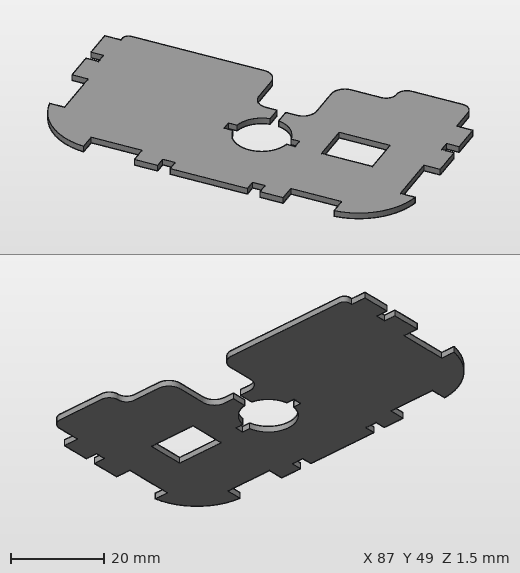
import cadquery as cq

width = 87.0
height = 49.0
thickness = 1.5
corner_radius = 15.0
body_half_width = 39.7

left_lobe_top = 43.0
left_lobe_radius = 1.5
shoulder_top = 44.0
step_x = 22.8
step_radius = 2.4
gap_floor = 30.2
gap_width = 13.7
gap_radius = 3.2

tab_top = 40.8
tab_bottom = 24.1
recess_length = 12.0
recess_bottom = tab_bottom - recess_length
tab_notch_bottom = 31.2
tab_notch_width = 2.5
tab_notch_depth = 3.0

edge_recess_center = 23.6
edge_recess_depth = 3.9
edge_notch_center = 10.6
edge_notch_width = 3.0
edge_notch_depth = 2.6

slot_left = 2.2
slot_right = 4.2
hole_x = (slot_left + slot_right) / 2
hole_y = 20.2
hole_radius = 6.4
key_span = 16.8
key_width = 2.2

window_left = 17.8
window_bottom = 19.05
window_length = recess_length
window_height = 9.0


def block(left, right, bottom, top):
    """Full-thickness rectangular block between the given sides."""
    solid = cq.Workplane("XY").box(right - left, top - bottom, thickness, centered=False)
    return solid.translate((left, bottom, 0))


def round_corners(plate, points, radius):
    """Round the upright edges that pass through the given points."""
    for x, y in points:
        edge = cq.selectors.NearestToPointSelector((x, y, thickness / 2))
        plate = plate.edges("|Z").edges(edge).fillet(radius)
    return plate


def make_body():
    """Plate with the stepped upper outline, the gap and all rounded corners."""
    gap_left = hole_x - gap_width / 2
    gap_right = hole_x + gap_width / 2
    half_width = width / 2
    outline = [
        (-half_width, 0),
        (half_width, 0),
        (half_width, tab_top),
        (body_half_width, tab_top),
        (body_half_width, height),
        (step_x, height),
        (step_x, shoulder_top),
        (gap_right, shoulder_top),
        (gap_right, gap_floor),
        (gap_left, gap_floor),
        (gap_left, left_lobe_top),
        (-body_half_width, left_lobe_top),
        (-body_half_width, tab_top),
        (-half_width, tab_top),
    ]
    body = cq.Workplane("XY").polyline(outline).close().extrude(thickness)
    body = round_corners(body, [(-half_width, 0), (half_width, 0)], corner_radius)
    gap_corners = [
        (gap_right, shoulder_top),
        (gap_right, gap_floor),
        (gap_left, gap_floor),
        (gap_left, left_lobe_top),
    ]
    body = round_corners(body, gap_corners, gap_radius)
    step_corners = [(body_half_width, height), (step_x, height), (step_x, shoulder_top)]
    body = round_corners(body, step_corners, step_radius)
    return round_corners(body, [(-body_half_width, left_lobe_top)], left_lobe_radius)


def make_edge_cutouts():
    """Recesses and notches on the right half of the side and lower edges."""
    outer = width / 2
    side_recess = block(body_half_width, outer, recess_bottom, tab_bottom)
    tab_notch_top = tab_notch_bottom + tab_notch_width
    tab_notch = block(outer - tab_notch_depth, outer, tab_notch_bottom, tab_notch_top)
    recess_left = edge_recess_center - recess_length / 2
    edge_recess = block(recess_left, recess_left + recess_length, 0, edge_recess_depth)
    notch_left = edge_notch_center - edge_notch_width / 2
    edge_notch = block(notch_left, notch_left + edge_notch_width, 0, edge_notch_depth)
    return [side_recess, tab_notch, edge_recess, edge_notch]


def make_keyed_hole():
    """Round opening with two side keys and a slot leading up to the gap."""
    hole = cq.Workplane("XY").center(hole_x, hole_y).circle(hole_radius).extrude(thickness)
    keys = block(hole_x - key_span / 2, hole_x + key_span / 2, hole_y - key_width / 2, hole_y + key_width / 2)
    slot = block(slot_left, slot_right, hole_y, gap_floor)
    return hole.union(keys).union(slot)


result = make_body()
for cutout in make_edge_cutouts():
    result = result.cut(cutout).cut(cutout.mirror("YZ"))
result = result.cut(make_keyed_hole())
result = result.cut(
    block(window_left, window_left + window_length, window_bottom, window_bottom + window_height)
)